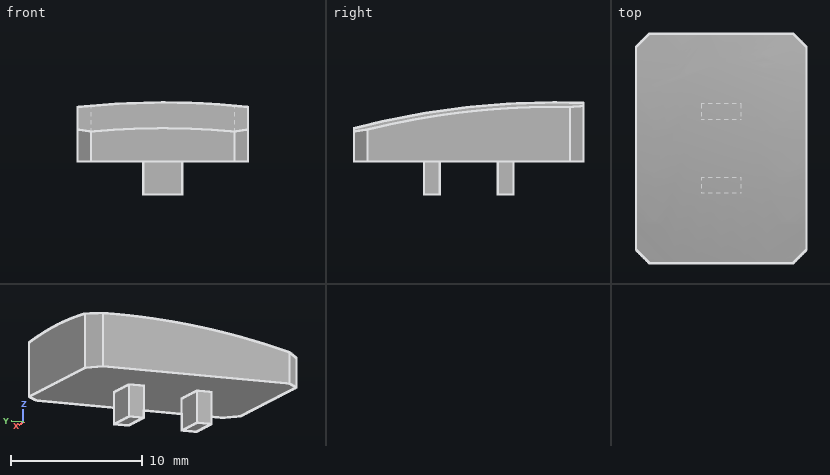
import cadquery as cq

width = 13.0
length = 17.5
corner_chamfer = 1.03
body_height = 4.53

dome_radius = 60.02
dome_peak_y = 6.53

peg_width = 3.0
peg_thickness = 1.2
peg_length = 2.5
peg_spacing = 5.62


def make_body():
    """Block with chamfered corners, trimmed by the dome; its underside is at Z = 0."""
    block = (
        cq.Workplane("XY")
        .rect(width, length)
        .extrude(body_height)
        .edges("|Z")
        .chamfer(corner_chamfer)
    )
    dome = cq.Workplane("XY").sphere(dome_radius).translate(
        (0, dome_peak_y, body_height - dome_radius)
    )
    return block.intersect(dome)


def make_pegs():
    """Pair of rectangular pegs hanging below the body, in line along Y."""
    return (
        cq.Workplane("XY")
        .rarray(0.18, peg_spacing, 1, 2)
        .rect(peg_width, peg_thickness)
        .extrude(-peg_length)
    )


result = make_body().union(make_pegs())